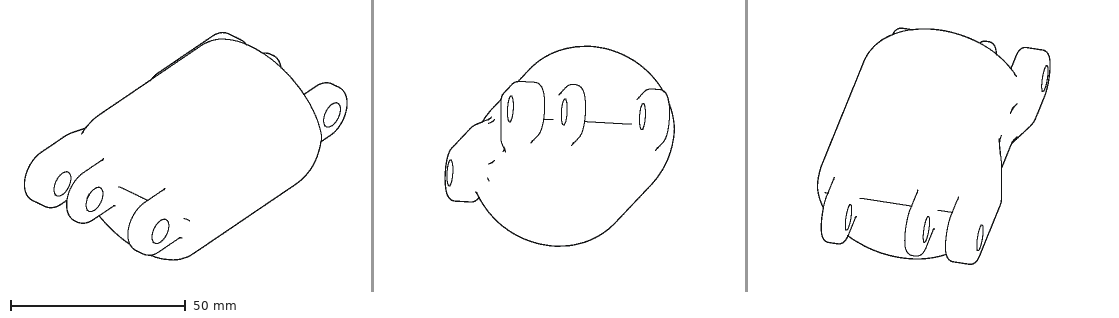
import cadquery as cq
import math

barrel_radius = 24.0
ridge_half_length = 28.55
end_slope = math.radians(10)
rim_fillet = 3.0

overall_length = 92.0
lug_width = 16.0
lug_edge_fillet = 2.0
root_fillet = 2.0
hole_diameter = 7.46
middle_lug_x = -8.8
middle_lug_thickness = 4.8
right_lug_x = 15.0
right_lug_thickness = 6.5

strap_outer_x = -27.0
strap_thickness = 8.6
rear_ramp_top_y = 12.3
rear_ramp_foot_y = 3.0
front_ramp_top_y = -25.8
front_ramp_foot_y = -17.3
ramp_crest_radius = 10.0
ramp_foot_radius = 10.0
foot_core_half_length = 20.0

selection_margin = 0.1
foot_search_reach = 4.0

lug_end_radius = lug_width / 2
half_length = overall_length / 2
hole_y = half_length - lug_end_radius
strap_inner_x = strap_outer_x + strap_thickness


def make_barrel():
    """Cylinder cut to roof-shaped ends, with rounded rims."""
    eave_half_length = ridge_half_length - barrel_radius * math.tan(end_slope)
    side_outline = [
        (ridge_half_length, 0),
        (eave_half_length, barrel_radius),
        (-eave_half_length, barrel_radius),
        (-ridge_half_length, 0),
        (-eave_half_length, -barrel_radius),
        (eave_half_length, -barrel_radius),
    ]
    envelope = cq.Workplane("YZ").polyline(side_outline).close().extrude(barrel_radius, both=True)
    cylinder = cq.Workplane("XZ").circle(barrel_radius).extrude(half_length, both=True)
    return cylinder.intersect(envelope).edges("%ELLIPSE").fillet(rim_fillet)


def make_lug_bar(center_x, thickness):
    """Round-ended bar along Y with softened edges, long enough to make a lug at both ends."""
    return (
        cq.Workplane("YZ", origin=(center_x - thickness / 2, 0, 0))
        .slot2D(overall_length, lug_width)
        .extrude(thickness)
        .edges("|Y or %CIRCLE")
        .fillet(lug_edge_fillet)
    )


def make_strap(side, ramp_top_y, ramp_foot_y, width):
    """Sharp-edged strap reaching the given end of Y, ramping down into the barrel at its other end."""
    slope = (-barrel_radius - strap_outer_x) / (ramp_foot_y - ramp_top_y)
    buried_y = ramp_top_y + strap_thickness / slope
    profile = [
        (strap_outer_x, side * half_length),
        (strap_outer_x, ramp_top_y),
        (strap_inner_x, buried_y),
        (strap_inner_x, side * half_length),
    ]
    crest = cq.selectors.NearestToPointSelector((strap_outer_x, ramp_top_y, 0))
    ramped_bar = (
        cq.Workplane("XY")
        .polyline(profile)
        .close()
        .extrude(width / 2, both=True)
        .edges(crest)
        .fillet(ramp_crest_radius)
    )
    round_ended_bar = (
        cq.Workplane("YZ", origin=(strap_outer_x, 0, 0))
        .slot2D(overall_length, lug_width)
        .extrude(strap_thickness)
    )
    return ramped_bar.intersect(round_ended_bar)


def blend_lug_roots(body, center_x, thickness):
    """Round the edges where a lug stands out of the two roof-shaped barrel ends."""
    reach_x = thickness / 2 + selection_margin
    reach_z = lug_width / 2 + selection_margin
    eave_y = ridge_half_length - reach_z * math.tan(end_slope)
    for side in (1, -1):
        root_box = cq.selectors.BoxSelector(
            (center_x - reach_x, side * eave_y, -reach_z),
            (center_x + reach_x, side * (ridge_half_length + selection_margin), reach_z),
            boundingbox=True,
        )
        body = body.edges(root_box).fillet(root_fillet)
    return body


def foot_edge(body, ramp_foot_y):
    """Arc where the flat of a ramp meets the barrel surface."""
    strap_rise = -barrel_radius - strap_outer_x
    foot_box = cq.selectors.BoxSelector(
        (strap_outer_x, ramp_foot_y - foot_search_reach, -lug_width / 2),
        (-barrel_radius + strap_rise, ramp_foot_y + foot_search_reach, lug_width / 2),
        boundingbox=True,
    )
    return body.edges("%ELLIPSE").edges(foot_box)


def add_strap(body, side, ramp_top_y, ramp_foot_y):
    """Add one soft-edged strap, blended into the barrel along its sides and ramp foot."""
    strap = make_strap(side, ramp_top_y, ramp_foot_y, lug_width)
    strap = strap.faces("<X or >X").edges("not |Z").fillet(lug_edge_fillet)
    return foot_edge(body.union(strap), ramp_foot_y).fillet(root_fillet)


def make_ramp_foot(side, ramp_top_y, ramp_foot_y):
    """Middle stretch of the barrel with a ramp flat and the long hollow blend at its foot."""
    flat_width = lug_width - 2 * lug_edge_fillet
    cylinder = cq.Workplane("XZ").circle(barrel_radius).extrude(foot_core_half_length, both=True)
    slab = cq.Workplane("XZ").rect(-2 * strap_outer_x, flat_width).extrude(foot_core_half_length, both=True)
    flat = make_strap(side, ramp_top_y, ramp_foot_y, flat_width).intersect(slab)
    return foot_edge(cylinder.union(flat), ramp_foot_y).fillet(ramp_foot_radius)


def drill_eyes(body):
    """Pierce all lugs along X at both ends."""
    drill = (
        cq.Workplane("YZ", origin=(strap_outer_x, 0, 0))
        .pushPoints([(hole_y, 0), (-hole_y, 0)])
        .circle(hole_diameter / 2)
        .extrude(barrel_radius - strap_outer_x)
    )
    return body.cut(drill)


lugs = (
    (middle_lug_x, middle_lug_thickness),
    (right_lug_x, right_lug_thickness),
)
straps = (
    (1, rear_ramp_top_y, rear_ramp_foot_y),
    (-1, front_ramp_top_y, front_ramp_foot_y),
)

result = make_barrel()
for center_x, thickness in lugs:
    result = result.union(make_lug_bar(center_x, thickness))
    result = blend_lug_roots(result, center_x, thickness)
for strap in straps:
    result = add_strap(result, *strap)
for strap in straps:
    result = result.union(make_ramp_foot(*strap))
result = drill_eyes(result)